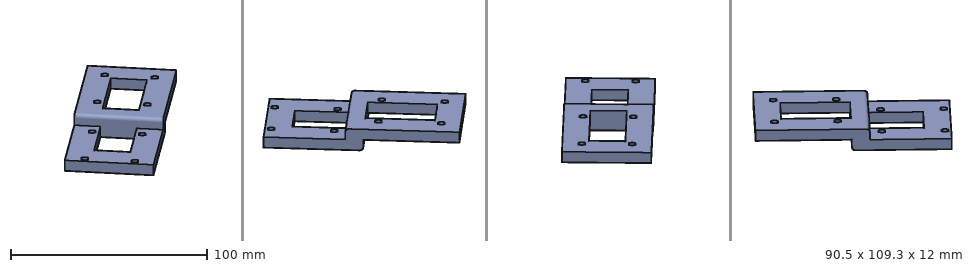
import cadquery as cq

length = 100.1
width = 45.6
plate_thickness = 6.0
turn_angle = -59.1

lower_start = 49.0
upper_end = 58.3
edge_radius = 2.0

window_width = 18.6
upper_window_start = 13.4
lower_window_end = 86.3

hole_diameter = 3.6
hole_pitch_along = 32.1
hole_pitch_across = 25.7
upper_holes_start = 9.9
lower_holes_start = 64.7


def block(start, end, across, bottom, height):
    """Box spanning start to end along the length, centred across the width."""
    return (
        cq.Workplane("XY")
        .box(end - start, across, height, centered=(False, True, False))
        .translate((start, 0, bottom))
    )


def window(start, end):
    """Rectangular cutter through the full height of the part."""
    return block(start, end, window_width, 0, 2 * plate_thickness)


def screw_holes(start):
    """Cutter for a rectangle of four through holes."""
    return (
        cq.Workplane("XY")
        .center(start + hole_pitch_along / 2, 0)
        .rect(hole_pitch_along, hole_pitch_across, forConstruction=True)
        .vertices()
        .circle(hole_diameter / 2)
        .extrude(2 * plate_thickness)
    )


upper_plate = block(0, upper_end, width, plate_thickness, plate_thickness)
upper_plate = upper_plate.edges(">X and >Z").fillet(edge_radius)
lower_plate = block(lower_start, length, width, 0, plate_thickness)
lower_plate = lower_plate.edges("<X and <Z").fillet(edge_radius)
body = upper_plate.union(lower_plate)

body = body.cut(window(upper_window_start, lower_start))
body = body.cut(window(upper_end, lower_window_end))
for holes_start in (upper_holes_start, lower_holes_start):
    body = body.cut(screw_holes(holes_start))

body = body.translate((-length / 2, 0, -plate_thickness))
result = body.rotate((0, 0, 0), (0, 0, 1), turn_angle)